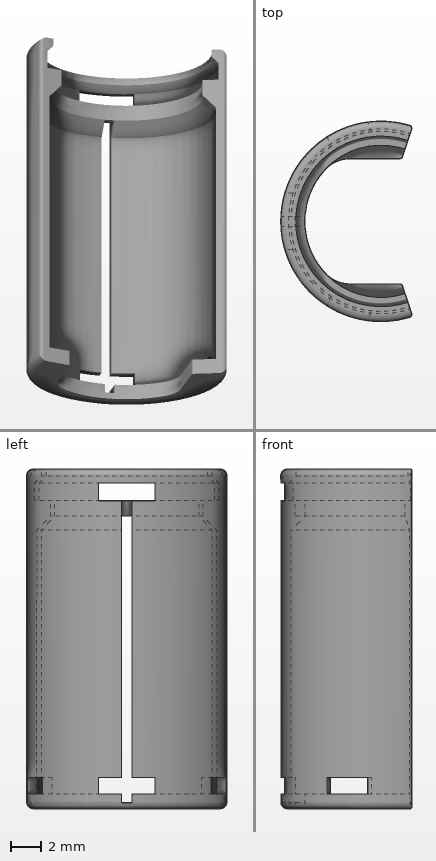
import cadquery as cq
import math

height = 22.35
outer_radius = 6.6
wall_radius = 5.92
end_angle = 71.5
rim_fillet = 0.47
end_fillet = 0.22

floor_thickness = 0.98
lip_radius = 5.6
lip_thickness = 0.47
recess_radius = 6.08
recess_top = 21.41
rib_radius = 5.0
rib_top = 20.27
rib_bottom = 19.25
rib_root = rib_bottom - (wall_radius - rib_radius)

flat_half_gap = 4.11
opening_fillet = 2.24
flat_end_fillet = 0.18

window_length = 3.7
window_bottom = floor_thickness
window_top = 2.05
side_window_length = 2.84
side_window_angle = 110.0
slot_width = 0.67
slot_bottom = 0.4
slot_pocket_radius = 5.65

reach = 2 * outer_radius


def radial_box(inner, length, bottom, top, angle):
    """Box reaching outward from the given radius in the given direction."""
    box = cq.Workplane("XY").box(
        reach, length, top - bottom, centered=(False, True, False)
    )
    return box.translate((inner, 0, bottom)).rotate((0, 0, 0), (0, 0, 1), angle)


def bored_shell():
    """Revolved wall with lip, recess, rib and a solid floor."""
    profile = [
        (0, 0),
        (outer_radius, 0),
        (outer_radius, height),
        (lip_radius, height),
        (lip_radius, height - lip_thickness),
        (recess_radius, recess_top),
        (recess_radius, rib_top),
        (rib_radius, rib_top),
        (rib_radius, rib_bottom),
        (wall_radius, rib_root),
        (wall_radius, floor_thickness),
        (0, floor_thickness),
    ]
    shell = cq.Workplane("XZ").polyline(profile).close().revolve(360, (0, 0), (0, 1))
    rims = cq.selectors.RadiusNthSelector(-1)
    return shell.edges("%CIRCLE").edges(rims).fillet(rim_fillet)


def floor_opening():
    """U-shaped opening: round at the back, parallel flats toward +X."""
    corner_x = -math.sqrt(rib_radius**2 - flat_half_gap**2)
    opening = (
        cq.Workplane("XY")
        .moveTo(reach, flat_half_gap)
        .lineTo(corner_x, flat_half_gap)
        .threePointArc((-rib_radius, 0), (corner_x, -flat_half_gap))
        .lineTo(reach, -flat_half_gap)
        .close()
        .extrude(floor_thickness)
    )
    return opening.edges("|Z").edges("<X").fillet(opening_fillet)


def mouth():
    """Wedge that opens the ring between its two end faces."""
    half_width = reach * math.tan(math.radians(end_angle))
    return (
        cq.Workplane("XY")
        .polyline([(0, 0), (reach, -half_width), (reach, half_width)])
        .close()
        .extrude(height)
    )


def upright_edges(solid, x, y):
    """The vertical edges of a solid at (x, y) and (x, -y)."""
    margin = 0.02
    left, right = [
        cq.selectors.BoxSelector(
            (x - margin, side - margin, 0),
            (x + margin, side + margin, height),
        )
        for side in (y, -y)
    ]
    return solid.edges("|Z").edges(left + right)


def rounded_sector():
    """Full-height C sector whose outer end corners are rounded."""
    sector = cq.Workplane("XY").circle(outer_radius).extrude(height).cut(mouth())
    end_x = outer_radius * math.cos(math.radians(end_angle))
    end_y = outer_radius * math.sin(math.radians(end_angle))
    return upright_edges(sector, end_x, end_y).fillet(end_fillet)


body = bored_shell().cut(floor_opening()).intersect(rounded_sector())

flat_end_x = flat_half_gap / math.tan(math.radians(end_angle))
body = upright_edges(body, flat_end_x, flat_half_gap).fillet(flat_end_fillet)

for bottom, top in ((window_bottom, window_top), (rib_top, recess_top)):
    body = body.cut(radial_box(0, window_length, bottom, top, 180))

for angle in (side_window_angle, -side_window_angle):
    body = body.cut(radial_box(0, side_window_length, window_bottom, window_top, angle))

body = body.cut(radial_box(0, slot_width, slot_bottom, rib_bottom, 180))
body = body.cut(radial_box(slot_pocket_radius, slot_width, rib_bottom, rib_top, 180))

result = body